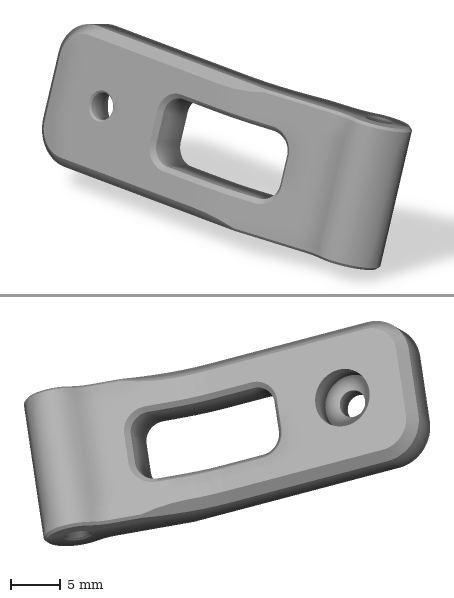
import cadquery as cq
import math

length = 41.2
width = 15.0
thickness = 5.0
tilt = 20.0
bend_angle = 15.0
bend_start = 21.65
front_bend_radius = 20.0
corner_radius = 4.0
edge_chamfer = 1.0
rim_chamfer = 0.3
hole_chamfer = 0.2

boss_radius = 3.5
boss_fillet = 4.0
pin_diameter = 2.5

screw_diameter = 2.8
screw_x = 7.55
screw_seat = 2.3
head_diameter = 6.0
slot_start = 15.07
slot_end = 30.35
slot_height = 7.15
slot_corner = 2.0
slot_chamfer = 0.5

runout_mid_x = 28.2
runout_mid_depth = 0.82
runout_end_x = 31.3

bend = math.radians(bend_angle)
bend_center_y = front_bend_radius
rear_bend_radius = front_bend_radius - thickness
mid_bend_radius = front_bend_radius - thickness / 2
boss_x = length - boss_radius
arm_end_x = bend_start + mid_bend_radius * math.sin(bend)
arm_end_y = bend_center_y - mid_bend_radius * math.cos(bend)
boss_y = arm_end_y + (boss_x - arm_end_x) * math.tan(bend)


def bend_point(radius, angle):
    """Point on the bend, at an angle measured from where the bend starts."""
    return (bend_start + radius * math.sin(angle), bend_center_y - radius * math.cos(angle))


def arm_point(along, across):
    """Point relative to the boss centre, in directions along and across the arm."""
    return (
        boss_x + along * math.cos(bend) - across * math.sin(bend),
        boss_y + along * math.sin(bend) + across * math.cos(bend),
    )


def bent_profile():
    """Side outline: straight plate, bent arm and filleted round boss, extruded over the width."""
    half = thickness / 2
    center_across = half + boss_fillet
    center_distance = boss_radius + boss_fillet
    center_along = -math.sqrt(center_distance**2 - center_across**2)
    touch = boss_radius / center_distance
    end_angle = math.atan2(-center_across, -center_along)
    mid_angle = (end_angle - math.pi / 2) / 2
    mid_along = center_along + boss_fillet * math.cos(mid_angle)
    mid_across = center_across + boss_fillet * math.sin(mid_angle)
    return (
        cq.Workplane("XY")
        .moveTo(0, 0)
        .lineTo(bend_start, 0)
        .threePointArc(bend_point(front_bend_radius, bend / 2), bend_point(front_bend_radius, bend))
        .lineTo(*arm_point(center_along, -half))
        .threePointArc(
            arm_point(mid_along, -mid_across),
            arm_point(center_along * touch, -center_across * touch),
        )
        .threePointArc(arm_point(boss_radius, 0), arm_point(center_along * touch, center_across * touch))
        .threePointArc(arm_point(mid_along, mid_across), arm_point(center_along, half))
        .lineTo(*bend_point(rear_bend_radius, bend))
        .threePointArc(bend_point(rear_bend_radius, bend / 2), (bend_start, thickness))
        .lineTo(0, thickness)
        .close()
        .extrude(width)
        .faces("<Z or >Z")
        .chamfer(rim_chamfer)
    )


def plate_envelope(depth):
    """Block with rounded left corners and a chamfered front rim; extends past the boss."""
    margin = 8.25
    return (
        cq.Workplane("XY")
        .box(length + margin, depth, width, centered=False)
        .edges("|Y and <X")
        .fillet(corner_radius)
        .faces("<Y")
        .chamfer(edge_chamfer)
    )


def rounded_envelope():
    """Envelope with a chamfered rear rim only along the straight plate."""
    deep = 16.47
    straight = plate_envelope(thickness).faces(">Y").chamfer(edge_chamfer)
    left_half = cq.Workplane("XY").box(bend_start, deep, width, centered=False)
    right_half = left_half.translate((bend_start, 0, 0))
    return straight.intersect(left_half).union(plate_envelope(deep).intersect(right_half))


def rear_height(x):
    """Rear face of the inclined arm at x."""
    end_x, end_y = bend_point(rear_bend_radius, bend)
    return end_y + (x - end_x) * math.tan(bend)


def rear_runout():
    """Upper cutter carrying the rear chamfer around the bend until it fades out on the arm."""
    cutter_depth = 1.65
    cutter_rear = 16.47
    start = (bend_start, thickness - edge_chamfer)
    path_radius = rear_bend_radius + edge_chamfer
    return (
        cq.Workplane("XY", origin=(0, 0, width))
        .moveTo(*start)
        .threePointArc(bend_point(path_radius, bend / 2), bend_point(path_radius, bend))
        .threePointArc(
            (runout_mid_x, rear_height(runout_mid_x) - runout_mid_depth),
            (runout_end_x, rear_height(runout_end_x)),
        )
        .lineTo(runout_end_x, cutter_rear)
        .lineTo(bend_start - cutter_depth, cutter_rear)
        .lineTo(bend_start - cutter_depth, start[1])
        .close()
        .extrude(-cutter_depth, taper=45)
    )


def cut_slot(body):
    """Rounded slot through the bend with chamfered rims on both faces."""
    margin = 0.4
    slot = (
        cq.Workplane("XZ")
        .center((slot_start + slot_end) / 2, width / 2)
        .rect(slot_end - slot_start, slot_height)
        .extrude(-length)
        .edges("|Y")
        .fillet(slot_corner)
    )
    inside = cq.selectors.BoxSelector(
        (slot_start - margin, -margin, (width - slot_height) / 2 - margin),
        (slot_end + margin, length, (width + slot_height) / 2 + margin),
    )
    return body.cut(slot).edges(inside).edges("not(|Y)").chamfer(slot_chamfer)


def cut_screw_hole(body):
    """Hole countersunk at the front face and counterbored for the screw head from the rear."""
    front = cq.Workplane("XZ", origin=(screw_x, 0, width / 2))
    seat = front.workplane(offset=-screw_seat)
    bore = front.circle(screw_diameter / 2).extrude(-thickness)
    countersink = front.circle(screw_diameter / 2 + hole_chamfer).extrude(-hole_chamfer, taper=45)
    counterbore = seat.circle(head_diameter / 2).extrude(screw_seat - thickness)
    return body.cut(bore).cut(countersink).cut(counterbore)


def cut_pin_hole(body):
    """Hole along the whole boss, countersunk at both ends."""
    base = cq.Workplane("XY", origin=(boss_x, boss_y, 0))
    pin = base.circle(pin_diameter / 2).extrude(width)
    lower = base.circle(pin_diameter / 2 + hole_chamfer).extrude(hole_chamfer, taper=45)
    upper = lower.mirror("XY", (0, 0, width / 2))
    return body.cut(pin).cut(lower).cut(upper)


body = bent_profile().intersect(rounded_envelope())
body = cut_slot(body)
upper_runout = rear_runout()
body = body.cut(upper_runout).cut(upper_runout.mirror("XY", (0, 0, width / 2)))
body = cut_screw_hole(body)
body = cut_pin_hole(body)

result = body.rotate((0, 0, 0), (1, 0, 0), -tilt)